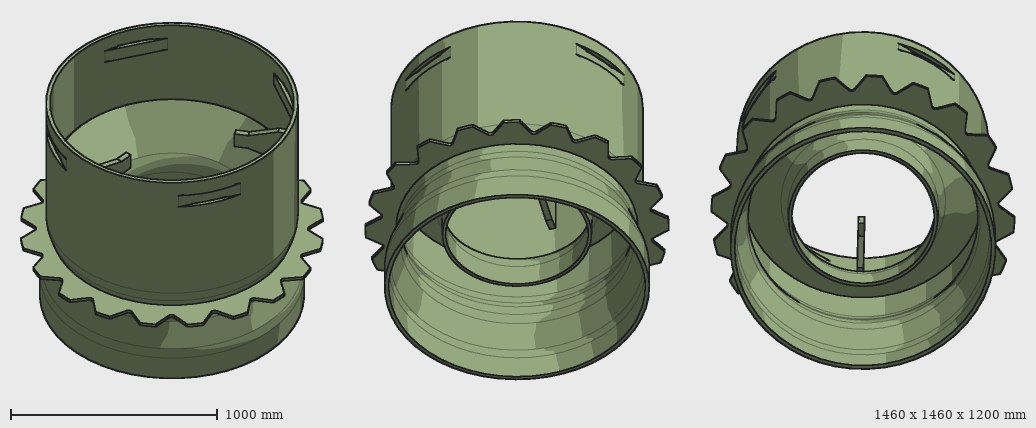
import cadquery as cq
import math

HEIGHT = 1200.0
UPPER_RADIUS = 1220.0 / 2
BORE_RADIUS = 1180.0 / 2
BASE_RADIUS = 1280.0 / 2
WALL = UPPER_RADIUS - BORE_RADIUS
WAIST_Z = 358.0
TAPER_ANGLE = 20
UPPER_BEND = 164.0
LOWER_WAIST_BEND = 135.0
BASE_BEND = 149.0

DENT_COUNT = 4
DENT_WIDTH = 315.0
DENT_HEIGHT = 70.0
DENT_TOP_Z = 1119.0

SPROCKET_SIZE = 1460
SPROCKET_HOLE_RADIUS = 1170.0 / 2
SPROCKET_THICKNESS = 16.0
SPROCKET_BOTTOM_Z = 397.0
TOOTH_COUNT = 20
GAP_HALF_ANGLE = 6
GAP_APEX_RADIUS = 648.0
GAP_FILLET = 19.0

CONTACT_RISE = SPROCKET_BOTTOM_Z + SPROCKET_THICKNESS - WAIST_Z
WAIST_RADIUS = SPROCKET_HOLE_RADIUS - UPPER_BEND + math.sqrt(UPPER_BEND**2 - CONTACT_RISE**2)

FUNNEL_WALL = 16.0
SPOUT_TOP_RADIUS = 698.0 / 2
SPOUT_END_RADIUS = 690.0 / 2
FUNNEL_ANGLE = 47
FUNNEL_BEND = 120.0
SPOUT_TOP_Z = 480.0
SPOUT_BOTTOM_Z = WAIST_Z

RIB_ANGLES = (60, -60)
RIB_THICKNESS = 30.0
RIB_MID_Z = 1032.0
RIB_ROOT_HEIGHT = 175.0
RIB_TIP_HEIGHT = 79.0
RIB_TAPER_START = 527.0
RIB_TAPER_END = 380.0
RIB_TIP_RADIUS = 313.0


def polar(centre, radius, angle):
    """Point on a circle, at an angle in degrees."""
    turn = math.radians(angle)
    return (centre[0] + radius * math.cos(turn), centre[1] + radius * math.sin(turn))


def bend(path, centre, radius, start, end):
    """Continue a path straight to a bend, then around it."""
    path = path.lineTo(*polar(centre, radius, start))
    return path.threePointArc(polar(centre, radius, (start + end) / 2), polar(centre, radius, end))


def turned(body, angle):
    """Copy of a body turned about the Z axis."""
    return body.rotate((0, 0, 0), (0, 0, 1), angle)


def taper_height(radius_change, bend_sum):
    """Height of two opposite bends and the cone that is tangent to both."""
    slope = math.radians(TAPER_ANGLE)
    cone_length = (radius_change - bend_sum * (1 - math.cos(slope))) / math.sin(slope)
    return bend_sum * math.sin(slope) + cone_length * math.cos(slope)


def drum_core(inset):
    """Solid of revolution whose side is the drum's outer face moved inwards by an inset."""
    base_z = WAIST_Z - taper_height(BASE_RADIUS - WAIST_RADIUS, BASE_BEND + LOWER_WAIST_BEND)
    shoulder_z = WAIST_Z + taper_height(UPPER_RADIUS - WAIST_RADIUS, 2 * UPPER_BEND)
    base_centre = (BASE_RADIUS - BASE_BEND, base_z)
    lower_waist_centre = (WAIST_RADIUS + LOWER_WAIST_BEND, WAIST_Z)
    upper_waist_centre = (WAIST_RADIUS + UPPER_BEND, WAIST_Z)
    shoulder_centre = (UPPER_RADIUS - UPPER_BEND, shoulder_z)
    waist_in = 180 + TAPER_ANGLE
    waist_out = 180 - TAPER_ANGLE

    path = cq.Workplane("XZ").lineTo(BASE_RADIUS - inset, 0)
    path = bend(path, base_centre, BASE_BEND - inset, 0, TAPER_ANGLE)
    path = bend(path, lower_waist_centre, LOWER_WAIST_BEND + inset, waist_in, 180)
    upper_waist_radius = UPPER_BEND + inset
    path = path.threePointArc(
        polar(upper_waist_centre, upper_waist_radius, (180 + waist_out) / 2),
        polar(upper_waist_centre, upper_waist_radius, waist_out),
    )
    path = bend(path, shoulder_centre, UPPER_BEND - inset, -TAPER_ANGLE, 0)
    path = path.lineTo(UPPER_RADIUS - inset, HEIGHT).lineTo(0, HEIGHT).close()
    return path.revolve(360, (0, 0), (0, 1))


def dent_block(start, end):
    """Block as wide and high as a dent, between two distances along X."""
    return (
        cq.Workplane("XY", origin=(start, 0, DENT_TOP_Z - DENT_HEIGHT))
        .box(end - start, DENT_WIDTH, DENT_HEIGHT, centered=(False, True, False))
    )


def make_drum():
    drum = drum_core(0).cut(drum_core(WALL))
    outer_flat = math.sqrt(UPPER_RADIUS**2 - (DENT_WIDTH / 2) ** 2)
    inner_flat = math.sqrt(BORE_RADIUS**2 - (DENT_WIDTH / 2) ** 2)
    backing = dent_block(inner_flat, outer_flat)
    recess = dent_block(outer_flat, UPPER_RADIUS + WALL)
    for i in range(DENT_COUNT):
        angle = i * 360 / DENT_COUNT
        drum = drum.union(turned(backing, angle)).cut(turned(recess, angle))
    return drum


def make_sprocket():
    corner_radius = SPROCKET_SIZE / 2 / math.cos(math.radians(GAP_HALF_ANGLE))
    corner_x, corner_y = polar((0, 0), corner_radius, GAP_HALF_ANGLE)
    far_x = 2 * corner_x - GAP_APEX_RADIUS
    far_y = 2 * corner_y
    plane = cq.Workplane("XY", origin=(0, 0, SPROCKET_BOTTOM_Z))
    gap = plane.polyline([(GAP_APEX_RADIUS, 0), (far_x, -far_y), (far_x, far_y)]).close()
    gap = gap.extrude(SPROCKET_THICKNESS).edges("|Z and <X").fillet(GAP_FILLET)
    sprocket = plane.circle(corner_radius).circle(SPROCKET_HOLE_RADIUS).extrude(SPROCKET_THICKNESS)
    for i in range(TOOTH_COUNT):
        sprocket = sprocket.cut(turned(gap, i * 360 / TOOTH_COUNT))
    return sprocket


def make_funnel():
    slope = math.radians(FUNNEL_ANGLE)
    bend_centre = (SPOUT_TOP_RADIUS + FUNNEL_BEND, SPOUT_TOP_Z)
    back_bend = FUNNEL_BEND - FUNNEL_WALL
    cone_angle = 180 - FUNNEL_ANGLE
    cone_back_start = polar(bend_centre, back_bend, cone_angle)
    rim_outer_z = cone_back_start[1] + (BORE_RADIUS - cone_back_start[0]) / math.tan(slope)
    rim_outer = (BORE_RADIUS, rim_outer_z)
    rim_inner = polar(rim_outer, FUNNEL_WALL, cone_angle)

    path = cq.Workplane("XZ").moveTo(SPOUT_END_RADIUS, SPOUT_BOTTOM_Z)
    path = bend(path, bend_centre, FUNNEL_BEND, 180, cone_angle)
    path = path.lineTo(*rim_inner).lineTo(*rim_outer)
    path = bend(path, bend_centre, back_bend, cone_angle, 180)
    path = path.lineTo(SPOUT_END_RADIUS + FUNNEL_WALL, SPOUT_BOTTOM_Z).close()
    return path.revolve(360, (0, 0), (0, 1))


def make_rib(angle):
    root = RIB_ROOT_HEIGHT / 2
    tip = RIB_TIP_HEIGHT / 2
    top = [(RIB_TIP_RADIUS, tip), (RIB_TAPER_END, tip), (RIB_TAPER_START, root), (UPPER_RADIUS, root)]
    bottom = [(x, -z) for x, z in reversed(top)]
    plate = cq.Workplane("XZ", origin=(0, 0, RIB_MID_Z)).polyline(top + bottom).close()
    plate = plate.extrude(RIB_THICKNESS / 2, both=True)
    bore = cq.Workplane("XY").circle(BORE_RADIUS).extrude(HEIGHT)
    return turned(plate.intersect(bore), angle)


drum = make_drum()
sprocket = make_sprocket()
funnel = make_funnel()
ribs = [make_rib(angle) for angle in RIB_ANGLES]

result = cq.Compound.makeCompound(
    [drum.val(), sprocket.val(), funnel.val(), *[rib.val() for rib in ribs]]
)